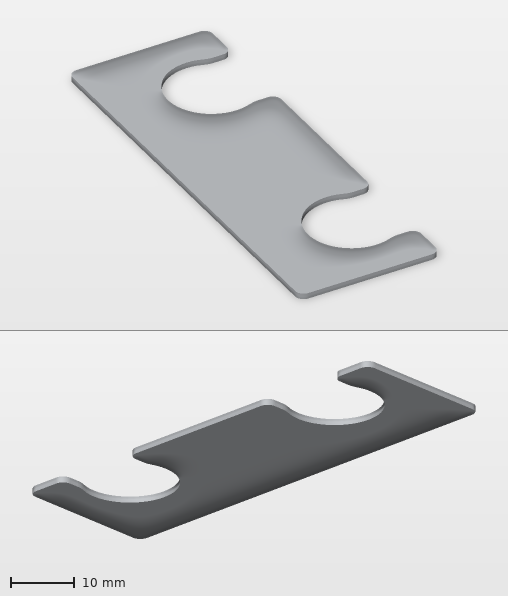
import cadquery as cq

length = 73.65
width = 25.4
thickness = 1.0
corner_radius = 1.55

notch_spacing = 44.4
bore_radius = 7.9
bore_depth = 7.7
mouth_width = 14.15
mouth_blend_radius = 4.4

back_edge = width / 2
bore_y = back_edge - bore_depth
select_margin = 0.7


def notch_cutter(x):
    """Round bore joined to a narrower straight mouth, blended where they meet."""
    bore = cq.Workplane("XY").center(x, bore_y).circle(bore_radius).extrude(thickness)
    mouth = (
        cq.Workplane("XY")
        .center(x, bore_y + bore_depth / 2)
        .rect(mouth_width, bore_depth)
        .extrude(thickness)
    )
    neck = cq.selectors.BoxSelector(
        (x - length, bore_y + select_margin, -select_margin),
        (x + length, back_edge - select_margin, thickness + select_margin),
    )
    return bore.union(mouth).edges("|Z").edges(neck).fillet(mouth_blend_radius)


result = cq.Workplane("XY").rect(length, width).extrude(thickness)
for side in (-1, 1):
    result = result.cut(notch_cutter(side * notch_spacing / 2))

for edge_side in (">Y", "<Y"):
    result = result.faces(edge_side).edges("|Z").fillet(corner_radius)